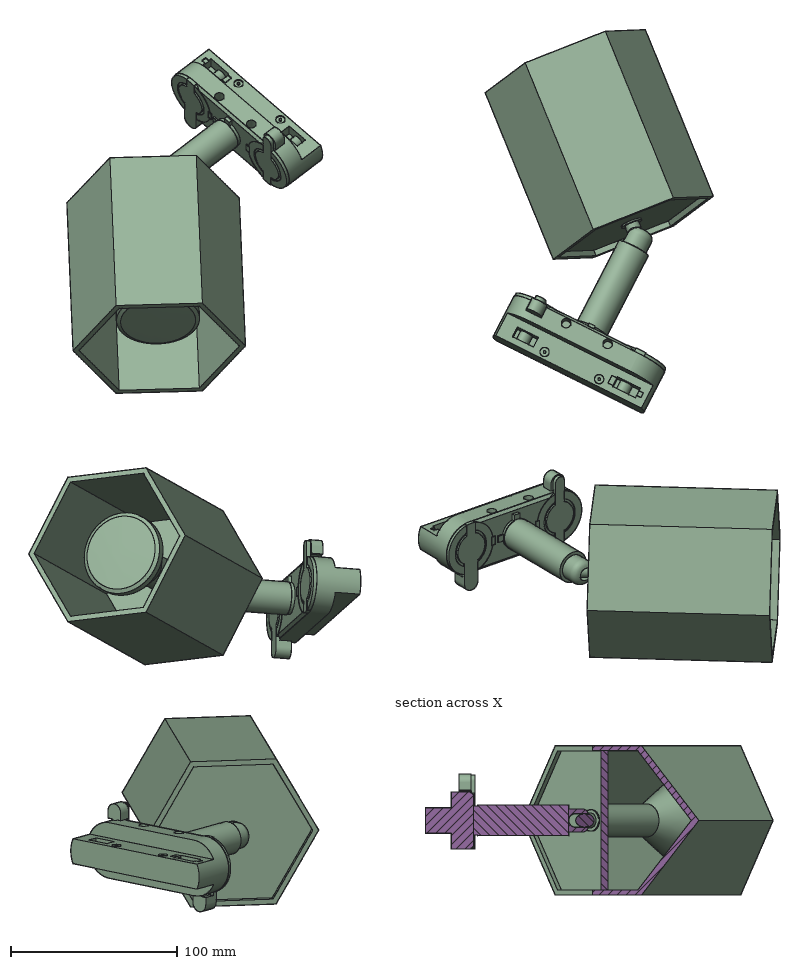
import cadquery as cq
import math


ADAPTER_DEPTH = 29.5
ADAPTER_RADIUS = 17.25
KNOB_OFFSET = 33.7
TRACK_DEPTH = 15.5
TRACK_HEIGHT = 15.5
END_DISC_RADIUS = 16.9
END_DISC_THICKNESS = 2.0
BRIDGE_SETBACK = 0.3
EDGE_CHAMFER = 2.0
SIDE_HOLE_OFFSET = 14.0
SIDE_HOLE_RADIUS = 2.9
SIDE_HOLE_SETBACK = 5.2
SIDE_HOLE_DEPTH = 8.0
SCREW_OFFSET = 18.4
SCREW_RADIUS = 2.8
SCREW_RECESS_DEPTH = 1.0
SCREW_CORE_RADIUS = 0.8
SCREW_SETBACK = 4.4
WINDOW_WIDTH = 6.6
WINDOW_SETBACK = 4.0
LEFT_WINDOW_REACHES = (9.3, 6.2)
RIGHT_WINDOW_REACHES = (8.0, 6.2)
NOTCH_LENGTH = 2.9
NOTCH_WIDTH = 3.2
NOTCH_DEPTH = 1.0
STEP_LENGTH = 3.3
STEP_WIDTH = 5.2
STOP_PAD_OFFSET = 16.8
STOP_PAD_SIZE = (2.8, 5.6)

LEVER_PROUD = 0.4
GRIP_WIDTH = 10.2
NARROW_BAR_WIDTH = 6.8
NARROW_BAR_REACH = 27.4
LEVER_REACH = 28.0
LEVER_SEAT_DEPTH = 2.0
GRIP_DEPTH = 9.7
GRIP_START = 18.4
HUB_RADIUS = 10.2
HUB_RECESS_RADIUS = 11.8
HUB_RECESS_DEPTH = 0.9
POINTER_WIDTH = 6.6
SHAFT_RADIUS = 4.0

STEM_RADIUS = 10.0
STEM_LENGTH = 55.0
NECK_RADIUS = 9.6
NECK_LENGTH = 1.8
TAB_WIDTH = 4.2
TAB_REACH = 13.4
SIDE_TAB_THICKNESS = 0.7

SLEEVE_RADIUS = 8.0
SLEEVE_LENGTH = 12.4
SLEEVE_ROUNDING = 4.4
SLOT_WIDTH = 8.0

TILT = 41.25
PIVOT_DROP = 6.22
PIVOT_TO_SHADE = 7.8
COLLAR_RADIUS = 4.5
COLLAR_LENGTH = 1.5
FLANGE_RADIUS = 6.5
FLANGE_THICKNESS = 1.0

SHADE_LENGTH = 110.0
SHADE_ACROSS_FLATS = 90.0
SHADE_WALL = 3.2
PLATE_RECESS = 3.5
PLATE_THICKNESS = 3.0
LAMP_RADIUS = 25.0
LAMP_SETBACK = 20.2
GLASS_RADIUS = 22.6
GLASS_RISE = 0.6
LAMP_EDGE_DROP = 1.2
LAMP_RIM_LENGTH = 5.0
LAMP_BOWL_LENGTH = 30.0
LAMP_BASE_RADIUS = 10.0

STEM_END = -NECK_LENGTH - STEM_LENGTH
PIVOT_Y = STEM_END - PIVOT_DROP
WINDOW_Y = ADAPTER_DEPTH - WINDOW_SETBACK - WINDOW_WIDTH / 2
SHAFT_END = WINDOW_Y + WINDOW_WIDTH / 2
TRACK_TOP = TRACK_HEIGHT / 2


def box(x0, x1, y0, y1, z0, z1):
    """Block between two corners."""
    return cq.Workplane("XY").box(x1 - x0, y1 - y0, z1 - z0, centered=False).translate((x0, y0, z0))


def disc(radius, x, y0, y1):
    """Cylinder along Y, centred on Z = 0."""
    return cq.Workplane("XZ", origin=(x, y0, 0)).circle(radius).extrude(y0 - y1)


def post(radius, x, y, z0, z1):
    """Cylinder along Z."""
    return cq.Workplane("XY", origin=(x, y, z0)).circle(radius).extrude(z1 - z0)


def round_bar(width, start, reach, y0, y1):
    """Bar along +Z from Z = start to a round tip at Z = reach."""
    radius = width / 2
    tip_centre = reach - radius
    tip = disc(radius, 0, y0, y1).translate((0, 0, tip_centre))
    return box(-radius, radius, y0, y1, start, tip_centre).union(tip)


def make_lever(x, direction, bar_width, bar_reach):
    """Lever at X = x whose grip points along +Z (direction 1) or -Z (direction -1)."""
    grip_back = GRIP_DEPTH - LEVER_PROUD
    plate = disc(HUB_RADIUS, 0, -LEVER_PROUD, LEVER_SEAT_DEPTH)
    shaft = disc(SHAFT_RADIUS, 0, 0, SHAFT_END)
    bar = round_bar(bar_width, 0, bar_reach, -LEVER_PROUD, LEVER_SEAT_DEPTH)
    grip = round_bar(GRIP_WIDTH, GRIP_START, LEVER_REACH, LEVER_SEAT_DEPTH, grip_back)
    pointer = box(-POINTER_WIDTH / 2, POINTER_WIDTH / 2, -LEVER_PROUD, LEVER_SEAT_DEPTH, -ADAPTER_RADIUS, 0)
    pointer = pointer.intersect(disc(ADAPTER_RADIUS, 0, -LEVER_PROUD, LEVER_SEAT_DEPTH))
    lever = plate.union(shaft).union(bar).union(grip).union(pointer)
    if direction < 0:
        lever = lever.rotate((0, 0, 0), (0, 1, 0), 180)
    return lever.translate((x, 0, 0))


lower_lever = make_lever(-KNOB_OFFSET, -1, GRIP_WIDTH, LEVER_REACH)
upper_lever = make_lever(KNOB_OFFSET, 1, NARROW_BAR_WIDTH, NARROW_BAR_REACH)
levers = [lower_lever, upper_lever]


def make_adapter_body():
    """Stadium-shaped base, chamfered between its end discs, with a narrower track block behind."""
    block_front = ADAPTER_DEPTH - TRACK_DEPTH
    overall = 2 * (KNOB_OFFSET + ADAPTER_RADIUS)
    stadium = cq.Workplane("XZ").slot2D(overall, 2 * ADAPTER_RADIUS).extrude(-ADAPTER_DEPTH)
    slab = box(-overall, overall, block_front, ADAPTER_DEPTH, -TRACK_TOP, TRACK_TOP)
    base = stadium.intersect(box(-overall, overall, END_DISC_THICKNESS, block_front, -overall, overall))
    body = base.union(stadium.intersect(slab))
    flat = ADAPTER_RADIUS - EDGE_CHAMFER
    chamfer_end = BRIDGE_SETBACK + EDGE_CHAMFER
    bridge_outline = [
        (BRIDGE_SETBACK, flat),
        (chamfer_end, ADAPTER_RADIUS),
        (chamfer_end, -ADAPTER_RADIUS),
        (BRIDGE_SETBACK, -flat),
    ]
    bridge = cq.Workplane("YZ").polyline(bridge_outline).close().extrude(KNOB_OFFSET, both=True)
    body = body.union(bridge)
    for x in (-KNOB_OFFSET, KNOB_OFFSET):
        body = body.union(disc(END_DISC_RADIUS, x, 0, END_DISC_THICKNESS))
    return body


def make_window(x, reaches):
    """Pocket from the top of the track block down to the lever shaft axis."""
    left, right = reaches
    half = WINDOW_WIDTH / 2
    return box(x - left, x + right, WINDOW_Y - half, WINDOW_Y + half, 0, TRACK_TOP)


def make_left_window_steps():
    """Shallow notch and step at the two ends of the left window."""
    left, right = LEFT_WINDOW_REACHES
    start = -KNOB_OFFSET - left
    end = -KNOB_OFFSET + right
    floor = TRACK_TOP - NOTCH_DEPTH
    notch = box(start - NOTCH_LENGTH, start, WINDOW_Y - NOTCH_WIDTH / 2, WINDOW_Y + NOTCH_WIDTH / 2,
                floor, TRACK_TOP)
    step = box(end, end + STEP_LENGTH, WINDOW_Y - STEP_WIDTH / 2, WINDOW_Y + STEP_WIDTH / 2,
               floor, TRACK_TOP)
    return notch.union(step)


def make_adapter():
    body = make_adapter_body()
    pad_x, pad_z = STOP_PAD_SIZE
    screw_y = ADAPTER_DEPTH - SCREW_SETBACK
    screw_floor = TRACK_TOP - SCREW_RECESS_DEPTH
    for side in (-1, 1):
        hole_floor = ADAPTER_RADIUS - SIDE_HOLE_DEPTH
        body = body.cut(post(SIDE_HOLE_RADIUS, side * SIDE_HOLE_OFFSET, SIDE_HOLE_SETBACK,
                             hole_floor, ADAPTER_RADIUS))
        screw_x = side * SCREW_OFFSET
        body = body.cut(post(SCREW_RADIUS, screw_x, screw_y, screw_floor, TRACK_TOP))
        body = body.union(post(SCREW_CORE_RADIUS, screw_x, screw_y, screw_floor, TRACK_TOP))
        body = body.cut(disc(HUB_RECESS_RADIUS, side * KNOB_OFFSET, 0, HUB_RECESS_DEPTH))
        pad = box(-pad_x / 2, pad_x / 2, -LEVER_PROUD, BRIDGE_SETBACK, -pad_z / 2, pad_z / 2)
        body = body.union(pad.translate((side * STOP_PAD_OFFSET, 0, 0)))
    body = body.cut(make_window(-KNOB_OFFSET, LEFT_WINDOW_REACHES))
    body = body.cut(make_window(KNOB_OFFSET, RIGHT_WINDOW_REACHES))
    body = body.cut(make_left_window_steps())
    for lever in levers:
        body = body.cut(lever)
    return body


adapter = make_adapter()


def make_stem():
    neck = disc(NECK_RADIUS, 0, -NECK_LENGTH, BRIDGE_SETBACK)
    tube = disc(STEM_RADIUS, 0, STEM_END, -NECK_LENGTH)
    half = TAB_WIDTH / 2
    top_tab = box(-half, half, -NECK_LENGTH, BRIDGE_SETBACK, 0, TAB_REACH)
    side_tab = box(-TAB_REACH, 0, -SIDE_TAB_THICKNESS, BRIDGE_SETBACK, -half, half)
    return neck.union(tube).union(top_tab).union(side_tab)


stem = make_stem()


def make_slot():
    """Slot in the XY plane, round at its inner side and at its end towards the stem."""
    radius = SLOT_WIDTH / 2
    nose = STEM_END - SLEEVE_LENGTH
    slot_end = STEM_END - radius
    throat = box(0, SLEEVE_RADIUS, nose, slot_end, -radius, radius)
    inner_side = disc(radius, 0, nose, slot_end)
    rounded_end = cq.Workplane("YZ", origin=(0, slot_end, 0)).circle(radius).extrude(SLEEVE_RADIUS)
    return throat.union(inner_side).union(rounded_end)


def make_sleeve():
    sleeve = disc(SLEEVE_RADIUS, 0, STEM_END - SLEEVE_LENGTH, STEM_END)
    sleeve = sleeve.faces("<Y").edges().fillet(SLEEVE_ROUNDING)
    return sleeve.cut(make_slot())


def place_on_tilt(part):
    """Turn local +Z onto the lamp axis (local Y becomes Z) and move the origin to the pivot."""
    angle = math.radians(TILT)
    lamp_axis = (math.cos(angle), -math.sin(angle), 0)
    across = (-math.sin(angle), -math.cos(angle), 0)
    plane = cq.Plane(origin=(0, PIVOT_Y, 0), xDir=across, normal=lamp_axis)
    return cq.Workplane(part.val().moved(cq.Location(plane)))


def local_cylinder(radius, start, end):
    return cq.Workplane("XY", origin=(0, 0, start)).circle(radius).extrude(end - start)


def hexagon(across_flats, start, end):
    """Hexagonal prism with flats facing local +Y and -Y."""
    diameter = across_flats / math.cos(math.pi / 6)
    return cq.Workplane("XY", origin=(0, 0, start)).polygon(6, diameter).extrude(end - start)


SHADE_BACK = PIVOT_TO_SHADE
SHADE_FRONT = SHADE_BACK + SHADE_LENGTH
PLATE_BACK = SHADE_BACK + PLATE_RECESS
PLATE_FRONT = PLATE_BACK + PLATE_THICKNESS
INNER_FLATS = SHADE_ACROSS_FLATS - 2 * SHADE_WALL


def make_arm():
    """Ball-ended neck in the sleeve slot, then a round collar and a flange on the back plate."""
    neck_radius = SLOT_WIDTH / 2
    collar_start = SHADE_BACK - COLLAR_LENGTH
    ball = cq.Workplane("XY").sphere(neck_radius)
    neck = local_cylinder(neck_radius, 0, collar_start)
    collar = local_cylinder(COLLAR_RADIUS, collar_start, PLATE_BACK)
    flange = local_cylinder(FLANGE_RADIUS, PLATE_BACK - FLANGE_THICKNESS, PLATE_BACK)
    return place_on_tilt(ball.union(neck).union(collar).union(flange))


def make_shade():
    outside = hexagon(SHADE_ACROSS_FLATS, SHADE_BACK, SHADE_FRONT)
    return place_on_tilt(outside.cut(hexagon(INNER_FLATS, SHADE_BACK, SHADE_FRONT)))


def make_lamp():
    """Round base on the back plate, opening through a bowl to a slightly domed front glass."""
    glass_edge = SHADE_FRONT - LAMP_SETBACK
    rim_front = glass_edge - LAMP_EDGE_DROP
    rim_back = rim_front - LAMP_RIM_LENGTH
    bowl_back = rim_back - LAMP_BOWL_LENGTH
    dome_radius = (GLASS_RADIUS**2 + GLASS_RISE**2) / (2 * GLASS_RISE)
    dome_top = glass_edge + GLASS_RISE
    mid_radius = GLASS_RADIUS / 2
    mid_height = dome_top - dome_radius + math.sqrt(dome_radius**2 - mid_radius**2)
    lamp = (
        cq.Workplane("XZ")
        .moveTo(0, PLATE_FRONT)
        .lineTo(LAMP_BASE_RADIUS, PLATE_FRONT)
        .lineTo(LAMP_BASE_RADIUS, bowl_back)
        .lineTo(LAMP_RADIUS, rim_back)
        .lineTo(LAMP_RADIUS, rim_front)
        .lineTo(GLASS_RADIUS, glass_edge)
        .threePointArc((mid_radius, mid_height), (0, dome_top))
        .close()
        .revolve(360, (0, 0, 0), (0, 1, 0))
    )
    return place_on_tilt(lamp)


arm = make_arm()
sleeve = make_sleeve().cut(arm)
shade = make_shade()
back_plate = place_on_tilt(hexagon(INNER_FLATS, PLATE_BACK, PLATE_FRONT))
lamp = make_lamp()

bodies = [adapter, *levers, stem, sleeve, arm, shade, back_plate, lamp]
result = cq.Compound.makeCompound([body.solids().val() for body in bodies])